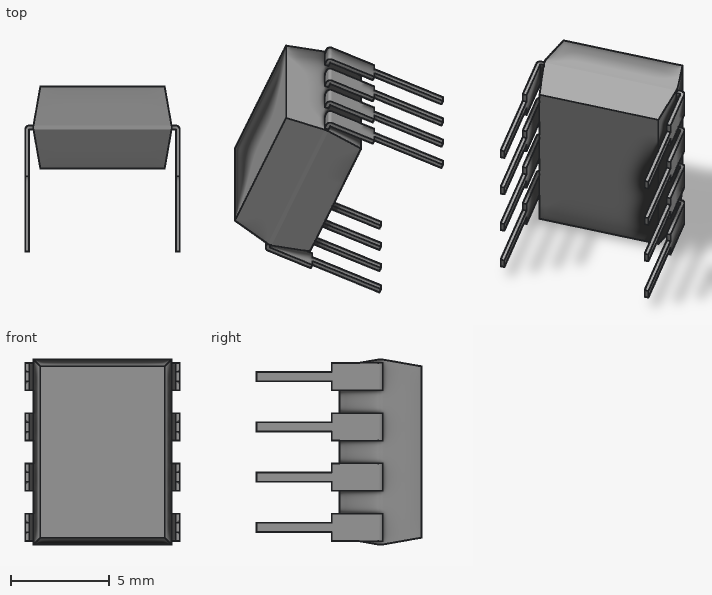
import cadquery as cq
import math

body_height = 9.38
body_width = 7.0
body_depth = 4.17
lead_span = 7.83
overall_depth = 8.38

lead_thickness = 0.21
blade_width = 1.4
blade_length = 2.58
pin_width = 0.48
lead_pitch = 2.54
leads_per_row = 4

draft_angle = 10.0

band_back = lead_thickness / 2
band_front = -band_back
half_depth = (body_depth - lead_thickness) / 2
shoulder_y = band_back - blade_length
tip_y = band_back + half_depth - overall_depth


def make_body():
    """Straight band as thick as the leads, with a drafted half on each side."""
    back_half = (
        cq.Workplane("XZ", origin=(0, band_back, 0))
        .rect(body_width, body_height)
        .extrude(-half_depth, taper=draft_angle)
    )
    band = cq.Workplane("XY").box(body_width, lead_thickness, body_height)
    front_half = (
        cq.Workplane("XZ", origin=(0, band_front, 0))
        .rect(body_width, body_height)
        .extrude(half_depth, taper=draft_angle)
    )
    return band.union(back_half).union(front_half)


def make_lead(side, z):
    """Bent lead on the +X (side = 1) or -X (side = -1) face of the band, centred at height z."""
    root_x = side * body_width / 2
    outer_x = side * lead_span / 2
    inner_x = outer_x - side * lead_thickness

    arc_reach = lead_thickness * math.sqrt(0.5)
    bend_middle = (inner_x + side * arc_reach, band_front + arc_reach)
    blade = (
        cq.Workplane("XY", origin=(0, 0, z))
        .moveTo(root_x, band_back)
        .lineTo(inner_x, band_back)
        .threePointArc(bend_middle, (outer_x, band_front))
        .lineTo(outer_x, shoulder_y)
        .lineTo(inner_x, shoulder_y)
        .lineTo(inner_x, band_front)
        .lineTo(root_x, band_front)
        .close()
        .extrude(blade_width / 2, both=True)
    )
    pin_centre = ((inner_x + outer_x) / 2, (shoulder_y + tip_y) / 2, z)
    pin = cq.Workplane("XY", origin=pin_centre).box(lead_thickness, shoulder_y - tip_y, pin_width)
    return blade.union(pin)


body = make_body()

leads = []
for side in (-1, 1):
    for row in range(leads_per_row):
        lead_z = (row - (leads_per_row - 1) / 2) * lead_pitch
        leads.append(make_lead(side, lead_z))

result = cq.Compound.makeCompound([body.val(), *[lead.val() for lead in leads]])